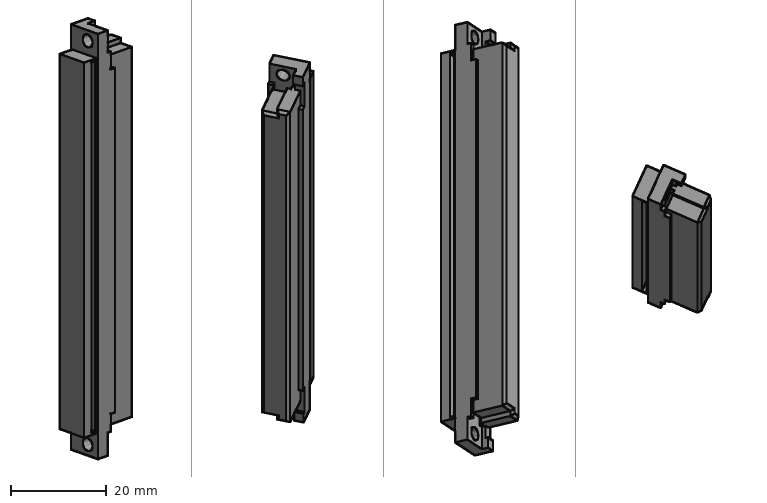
import cadquery as cq

length = 94.9
width = 8.0
plate_depth = 3.8
top_z = length / 2
bottom_z = -length / 2

strip_depth = 5.0
strip_top_inset = 8.9
strip_bottom_inset = 9.1

lug_width = 2.1
top_lug_height = 2.5
bottom_lug_height = 2.4
bottom_lug_depth = 4.5
ear_depth = 2.9
pocket_width = 3.9
pocket_drop = 3.8

hole_diameter = 2.8
hole_x = 0.95
top_hole_inset = 2.4
bottom_hole_inset = 2.5

plug_width = 6.2
plug_back = 11.6
plug_top_inset = 4.9
plug_bottom_inset = 5.1
key_x = -0.2
key_drop = 1.1
plug_chamfer = 0.7

front_width = 7.2
front_depth = 3.7
front_top_inset = 5.5
front_bottom_inset = 5.7
slot_near = 0.5
slot_far = 1.5
slot_end_wall = 0.6


def box(x_range, y_range, z_range):
    """Axis-aligned block between the given pairs of limits."""
    sizes = [high - low for low, high in (x_range, y_range, z_range)]
    corner = (x_range[0], y_range[0], z_range[0])
    return cq.Workplane("XY").box(*sizes, centered=False).translate(corner)


def across(full_width, middle=0.0):
    """X limits of a feature centred on the given position."""
    return (middle - full_width / 2, middle + full_width / 2)


def between(top_inset, bottom_inset):
    """Z limits of a feature set in from both ends of the part."""
    return (bottom_z + bottom_inset, top_z - top_inset)


def make_plate():
    left, right = across(width)
    plate = box((left, right), (0, plate_depth), (bottom_z, top_z))
    strip = box((left, right), (0, strip_depth), between(strip_top_inset, strip_bottom_inset))
    top_lug = box((left, left + lug_width), (0, strip_depth), (top_z - top_lug_height, top_z))
    bottom_lug = box(
        (left, left + lug_width), (0, bottom_lug_depth), (bottom_z, bottom_z + bottom_lug_height)
    )
    return plate.union(strip).union(top_lug).union(bottom_lug)


def cut_ears(plate):
    """Thin both ears beside their lugs, with a narrower pocket running on past the key step."""
    recess_x = (-width / 2 + lug_width, width / 2)
    pocket_x = across(pocket_width, hole_x)
    depth = (ear_depth, strip_depth)
    pocket_reach = (ear_depth, plate_depth)
    top_floor = top_z - plug_top_inset
    bottom_floor = bottom_z + plug_bottom_inset
    plate = plate.cut(box(recess_x, depth, (top_floor, top_z)))
    plate = plate.cut(box(pocket_x, pocket_reach, (top_floor - pocket_drop, top_floor)))
    plate = plate.cut(box(recess_x, depth, (bottom_z, bottom_floor)))
    return plate.cut(box(pocket_x, pocket_reach, (bottom_floor, bottom_floor + pocket_drop)))


def make_plug():
    left, right = across(plug_width)
    depth = (plate_depth, plug_back)
    tall = box((left, key_x), depth, between(plug_top_inset, plug_bottom_inset))
    short = box(
        (left, right), depth, between(plug_top_inset + key_drop, plug_bottom_inset + key_drop)
    )
    return tall.union(short).faces(">Y").chamfer(plug_chamfer)


def make_front_block():
    block = box(across(front_width), (-front_depth, 0), between(front_top_inset, front_bottom_inset))
    slot = box(
        across(front_width),
        (-slot_far, -slot_near),
        between(front_top_inset + slot_end_wall, front_bottom_inset + slot_end_wall),
    )
    return block.cut(slot)


def make_screw_holes():
    centres = [(hole_x, top_z - top_hole_inset), (hole_x, bottom_z + bottom_hole_inset)]
    return (
        cq.Workplane("XZ").pushPoints(centres).circle(hole_diameter / 2).extrude(-strip_depth)
    )


result = cut_ears(make_plate()).union(make_plug()).union(make_front_block()).cut(make_screw_holes())